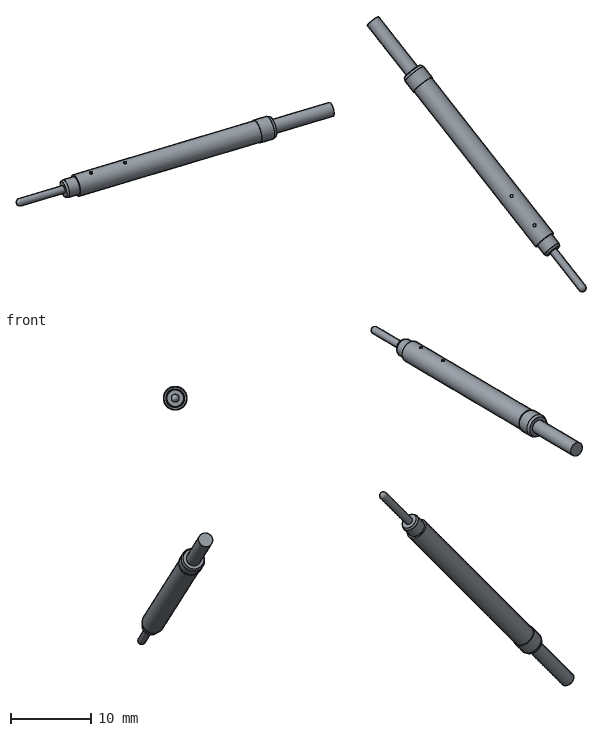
import cadquery as cq

plunger_diameter = 1.0
nose_diameter = 2.35
barrel_diameter = 2.8
collar_diameter = 3.0
tail_diameter = 1.8

total_length = 43.3
plunger_length = 6.45
nose_length = 1.75
barrel_length = 24.9
collar_length = 2.12

nose_taper_length = 0.3
nose_taper_inset = 0.15
collar_taper_length = 0.4
collar_taper_inset = 0.17

dimple_diameter = 0.4
dimple_depth = 0.15
dimple_spacing = 4.68
first_dimple_from_barrel_end = 2.1
dimple_count = 2

plunger_radius = plunger_diameter / 2
nose_radius = nose_diameter / 2
barrel_radius = barrel_diameter / 2
collar_radius = collar_diameter / 2
tail_radius = tail_diameter / 2
nose_start = plunger_length
barrel_start = nose_start + nose_length
collar_start = barrel_start + barrel_length
tail_start = collar_start + collar_length


def make_body():
    """Stepped pin turned about the Y axis, with a hemispherical plunger tip."""
    nose_shoulder = nose_start + nose_taper_length
    collar_shoulder = tail_start - collar_taper_length
    tip_mid_radius = plunger_radius * 0.5**0.5
    profile = (
        cq.Workplane("XY")
        .moveTo(0, 0)
        .threePointArc((tip_mid_radius, plunger_radius - tip_mid_radius), (plunger_radius, plunger_radius))
        .lineTo(plunger_radius, nose_start)
        .lineTo(nose_radius - nose_taper_inset, nose_start)
        .lineTo(nose_radius, nose_shoulder)
        .lineTo(nose_radius, barrel_start)
        .lineTo(barrel_radius, barrel_start)
        .lineTo(barrel_radius, collar_start)
        .lineTo(collar_radius, collar_start)
        .lineTo(collar_radius, collar_shoulder)
        .lineTo(collar_radius - collar_taper_inset, tail_start)
        .lineTo(tail_radius, tail_start)
        .lineTo(tail_radius, total_length)
        .lineTo(0, total_length)
        .close()
    )
    return profile.revolve(360, (0, 0, 0), (0, 1, 0))


def make_dimple(y):
    """Cutter for one flat-bottomed dimple sunk into the top of the barrel."""
    floor = cq.Workplane("XY", origin=(0, y, barrel_radius - dimple_depth))
    return floor.circle(dimple_diameter / 2).extrude(2 * dimple_depth)


result = make_body()
for index in range(dimple_count):
    dimple_y = barrel_start + first_dimple_from_barrel_end + index * dimple_spacing
    result = result.cut(make_dimple(dimple_y))